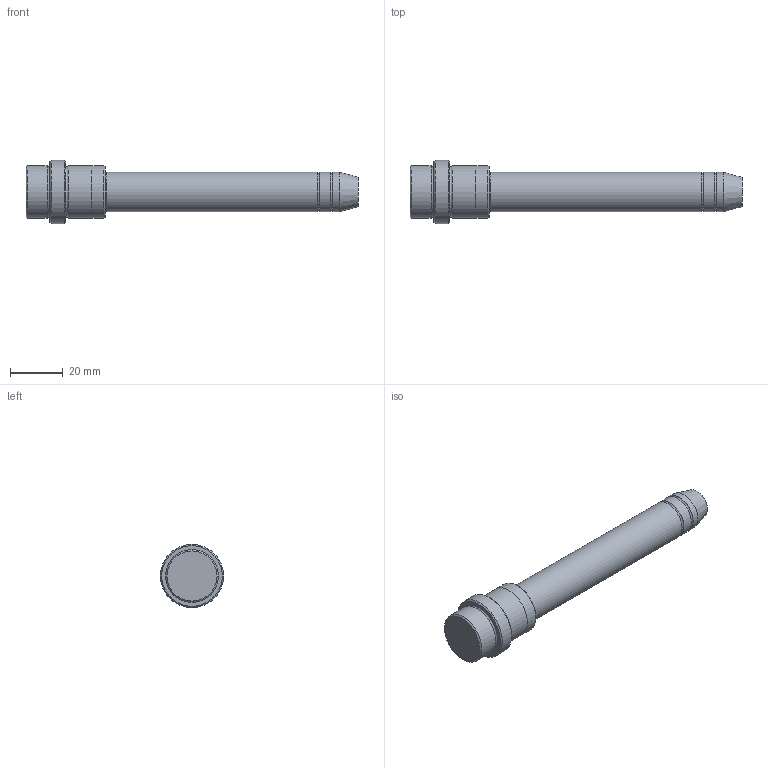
import cadquery as cq
import math

head_diameter = 20.0
flange_diameter = 24.0
shaft_diameter = 15.0

total_length = 126.0
flange_start = 9.0
flange_end = 15.0
seat_end = 25.0
collar_end = 30.0
tip_groove_centers = (111.0, 116.0)
taper_start = 119.0

edge_chamfer = 0.5
root_fillet = 0.5
groove_radius = 0.5
taper_angle = 15.0

head_radius = head_diameter / 2
flange_radius = flange_diameter / 2
rim_radius = flange_radius - edge_chamfer
shaft_radius = shaft_diameter / 2
tip_radius = shaft_radius - (total_length - taper_start) * math.tan(math.radians(taper_angle))


def add_lines(outline, points):
    """Extend the outline with straight segments through the points."""
    for x, radius in points:
        outline = outline.lineTo(x, radius)
    return outline


def add_groove(outline, center, surface_radius):
    """Run along a cylinder up to a half-round ring groove and through it."""
    outline = outline.lineTo(center - groove_radius, surface_radius)
    return outline.threePointArc(
        (center, surface_radius - groove_radius),
        (center + groove_radius, surface_radius),
    )


def add_head(outline):
    """Head with a chamfered end face."""
    return add_lines(outline, [
        (0, head_radius - edge_chamfer),
        (edge_chamfer, head_radius),
    ])


def add_flange(outline):
    """Flange chamfered on both rims, with a half-round relief against each face."""
    outline = add_groove(outline, flange_start - groove_radius, head_radius)
    outline = add_lines(outline, [
        (flange_start, rim_radius),
        (flange_start + edge_chamfer, flange_radius),
        (flange_end - edge_chamfer, flange_radius),
        (flange_end, rim_radius),
    ])
    return add_groove(outline, flange_end + groove_radius, head_radius)


def add_collar(outline):
    """Collar of one diameter whose two faces meet at seat_end, with a chamfered end."""
    return add_lines(outline, [
        (seat_end, head_radius),
        (collar_end - edge_chamfer, head_radius),
        (collar_end, head_radius - edge_chamfer),
    ])


def add_shaft(outline):
    """Shaft with a filleted root, two ring grooves and a conical tip."""
    outline = outline.lineTo(collar_end, shaft_radius + root_fillet)
    outline = outline.radiusArc((collar_end + root_fillet, shaft_radius), -root_fillet)
    for center in tip_groove_centers:
        outline = add_groove(outline, center, shaft_radius)
    return add_lines(outline, [
        (taper_start, shaft_radius),
        (total_length, tip_radius),
        (total_length, 0),
    ])


half_section = cq.Workplane("XZ").moveTo(0, 0)
for add_section in (add_head, add_flange, add_collar, add_shaft):
    half_section = add_section(half_section)

result = half_section.close().revolve(360, (0, 0), (1, 0), clean=False)